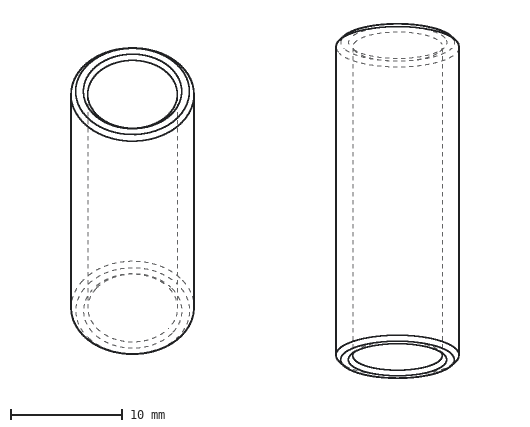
import cadquery as cq

length = 30.0
outer_diameter = 11.0
bore_diameter = 8.0
outer_chamfer = 0.42
bore_chamfer = 0.4

tube = cq.Workplane("XY").circle(outer_diameter / 2).extrude(length)
tube = tube.faces("<Z or >Z").chamfer(outer_chamfer)

bore = cq.Workplane("XY").circle(bore_diameter / 2).extrude(length)
tube = tube.cut(bore)

bore_mouths = tube.edges(cq.selectors.RadiusNthSelector(0))
result = bore_mouths.chamfer(bore_chamfer)